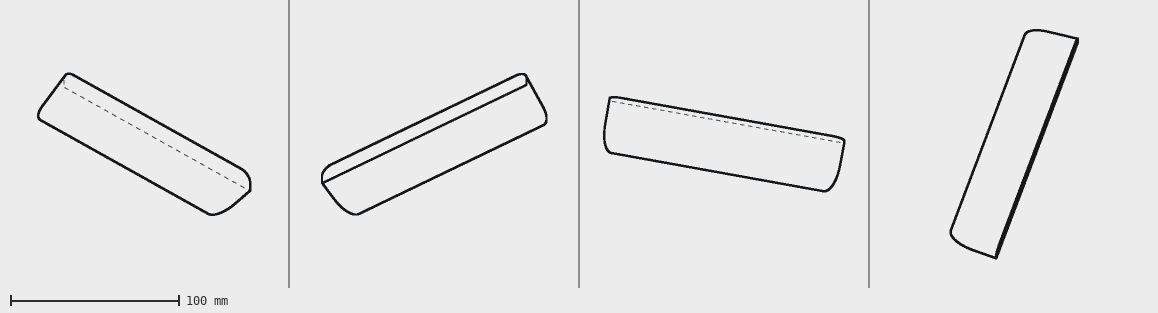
import cadquery as cq
import math

width = 142.0
depth = 31.2

slope_angle = 22.5
end_radius = 7.1
base_radius = 0.92
back_allowance = 5.7

slope = math.radians(slope_angle)
back_y = depth / 2
nose_y = back_y - depth

core_tip_y = nose_y + base_radius
core_back_y = back_y + back_allowance
core_depth = core_back_y - core_tip_y
core_height = core_depth * math.tan(slope)
core_width = width - 2 * base_radius


def rounded_core():
    """Wedge centred on X = 0, with its slope rounded into both end faces."""
    section = cq.Workplane("YZ", origin=(0, 0, base_radius)).polyline(
        [(core_tip_y, 0), (core_back_y, 0), (core_back_y, core_height)]
    ).close()
    wedge = section.extrude(core_width / 2, both=True)
    slope_direction = cq.Vector(0, core_depth, core_height)
    slope_edges = wedge.edges(cq.selectors.ParallelDirSelector(slope_direction))
    return slope_edges.fillet(end_radius - base_radius)


def grown(core):
    """Grow the core evenly, turning its sharp base edges into round ones."""
    skin = core.shell(base_radius, kind="arc")
    return skin.union(core)


def trimmed_at_back(body):
    """Cut the flat back face and keep everything in front of it."""
    keep = cq.Workplane("XY").box(2 * width, depth, 2 * width, centered=(True, False, True))
    return body.intersect(keep.translate((0, nose_y, 0)))


result = trimmed_at_back(grown(rounded_core()))